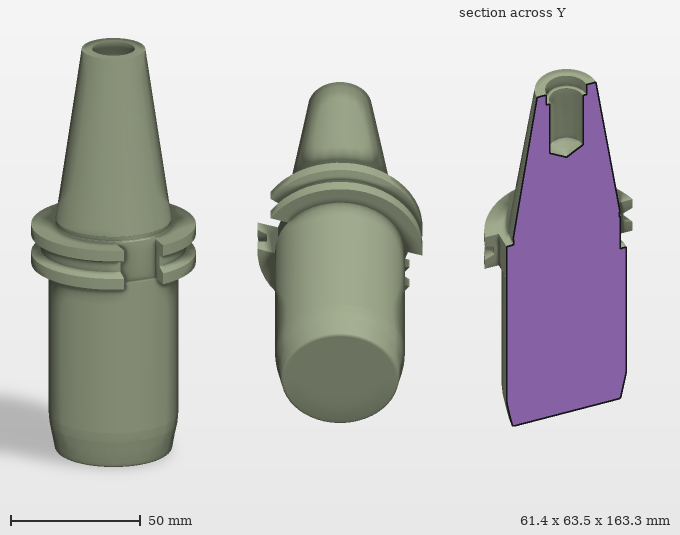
import cadquery as cq
import math


gauge_diameter = 44.45
taper_length = 68.25
taper_ratio = 7 / 24
taper_overrun = 0.8
neck_diameter = 44.0
neck_upper_fillet = 0.3
neck_lower_fillet = 0.6

flange_diameter = 63.5
flange_top = -3.175
flange_bottom = -19.05
groove_centre = -11.1
groove_root_diameter = 56.2
groove_root_width = 4.0
groove_mouth_width = 7.1

slot_width = 16.2
slot_floor_left = 24.9
slot_floor_right = 22.5

body_diameter = 50.0
body_bottom = -95.0
nose_height = 15.0
nose_cone_height = 11.0
nose_cone_angle = 11.0
end_fillet = 1.2

counterbore_diameter = 16.48
counterbore_depth = 5.0
bore_diameter = 13.5
bore_depth = 30.0
drill_point_angle = 118.0


def make_body():
    """Revolve the half profile of the holder about the Z axis."""
    gauge_radius = gauge_diameter / 2
    small_end_radius = gauge_radius - taper_length * taper_ratio / 2
    large_end_radius = gauge_radius + taper_overrun * taper_ratio / 2
    neck_radius = neck_diameter / 2
    flange_radius = flange_diameter / 2
    root_radius = groove_root_diameter / 2
    body_radius = body_diameter / 2

    half_root = groove_root_width / 2
    half_mouth = groove_mouth_width / 2

    nose_top = body_bottom + nose_height
    cone_top = body_bottom + nose_cone_height
    cone_angle = math.radians(nose_cone_angle)
    cone_bottom = body_bottom + end_fillet * (1 - math.sin(cone_angle))
    arc_drop = (nose_top - cone_top) * math.tan(cone_angle / 2)
    cone_top_radius = body_radius - arc_drop
    cone_bottom_radius = cone_top_radius - (cone_top - cone_bottom) * math.tan(cone_angle)
    end_radius = cone_bottom_radius - end_fillet * math.cos(cone_angle)

    profile = (
        cq.Workplane("XZ")
        .moveTo(0, taper_length)
        .lineTo(small_end_radius, taper_length)
        .lineTo(large_end_radius, -taper_overrun)
        .lineTo(neck_radius + neck_upper_fillet, -taper_overrun)
        .tangentArcPoint((neck_radius, -taper_overrun - neck_upper_fillet), relative=False)
        .lineTo(neck_radius, flange_top + neck_lower_fillet)
        .tangentArcPoint((neck_radius + neck_lower_fillet, flange_top), relative=False)
        .lineTo(flange_radius, flange_top)
        .lineTo(flange_radius, groove_centre + half_mouth)
        .lineTo(root_radius, groove_centre + half_root)
        .lineTo(root_radius, groove_centre - half_root)
        .lineTo(flange_radius, groove_centre - half_mouth)
        .lineTo(flange_radius, flange_bottom)
        .lineTo(body_radius, flange_bottom)
        .lineTo(body_radius, nose_top)
        .tangentArcPoint((cone_top_radius, cone_top), relative=False)
        .lineTo(cone_bottom_radius, cone_bottom)
        .tangentArcPoint((end_radius, body_bottom), relative=False)
        .lineTo(0, body_bottom)
        .close()
    )
    return profile.revolve(360, (0, 0), (0, 1))


def make_slot(floor, side):
    """Cutter for one drive slot: side is +1 for +X and -1 for -X."""
    depth = flange_diameter / 2 - floor
    height = flange_top - flange_bottom
    cutter = cq.Workplane("XY").box(depth, slot_width, height)
    return cutter.translate((side * (floor + depth / 2), 0, (flange_top + flange_bottom) / 2))


def make_stepped_hole():
    """Revolved cutter: counterbore, bore and conical drill point."""
    bore_radius = bore_diameter / 2
    counterbore_radius = counterbore_diameter / 2
    step = taper_length - counterbore_depth
    bore_end = taper_length - bore_depth
    point_height = bore_radius / math.tan(math.radians(drill_point_angle / 2))
    profile = (
        cq.Workplane("XZ")
        .moveTo(0, taper_length)
        .lineTo(counterbore_radius, taper_length)
        .lineTo(counterbore_radius, step)
        .lineTo(bore_radius, step)
        .lineTo(bore_radius, bore_end)
        .lineTo(0, bore_end - point_height)
        .close()
    )
    return profile.revolve(360, (0, 0), (0, 1))


result = make_body()
result = result.cut(make_slot(slot_floor_left, -1))
result = result.cut(make_slot(slot_floor_right, 1))
result = result.cut(make_stepped_hole())